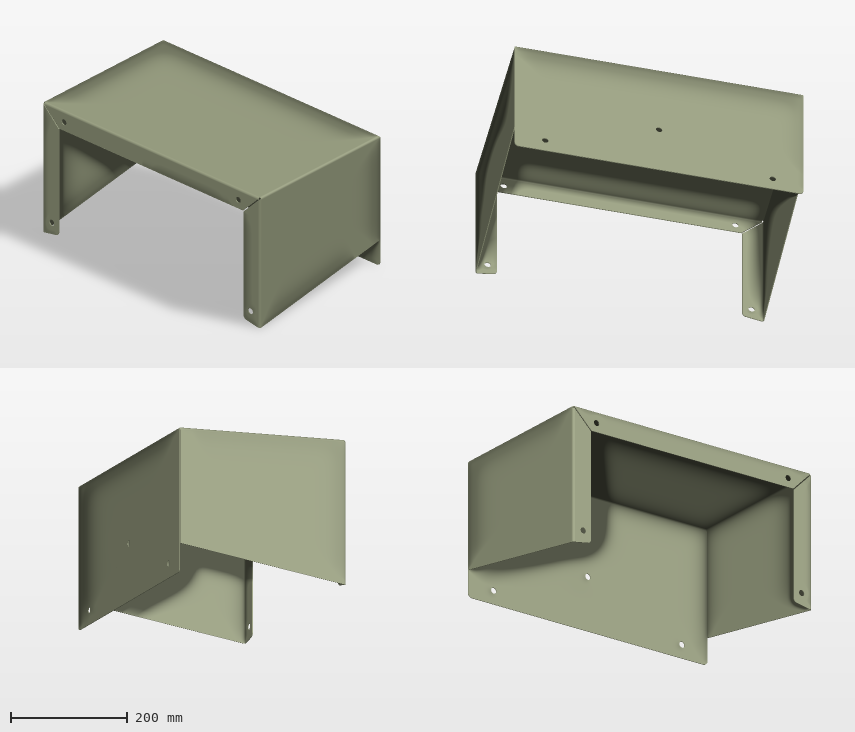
import cadquery as cq
import math

length = 508.0
depth = 305.0
height = 254.0
thickness = 1.5
bend_radius = 4.0

flange_width = 38.0
miter_gap = 2.0
miter_angle = 45.0
seam_gap = 0.5
flange_bottom_rise = 6.0
tip_radius = 7.5
side_rise = 51.0

hole_diameter = 11.0
top_hole_x = 203.5
top_hole_drop = 21.5
side_hole_x = 232.0
back_hole_x = 200.0
low_hole_z = 25.5
center_hole_z = 101.5

half_length = length / 2
half_depth = depth / 2
front_y = -half_depth
flat_x = half_length - bend_radius
flat_z = height - bend_radius
opening_x = half_length - flange_width
opening_z = height - flange_width
cut_margin = 5.0
pick_margin = 0.5


def bent_block(inset):
    """Block inset from the outer faces, its bends meeting in miters at the top corners."""
    radius = bend_radius - inset
    size_x = length - 2 * inset
    size_y = depth - 2 * inset
    block_height = height - inset

    def plain_block():
        return cq.Workplane("XY").box(size_x, size_y, block_height, centered=(True, True, False))

    side_bends = plain_block().edges("|Y and >Z").fillet(radius)
    end_bends = plain_block().edges("|X and >Z").fillet(radius)
    front_bends = plain_block().edges("|Z and <Y").fillet(radius)
    return side_bends.intersect(end_bends).intersect(front_bends)


def front_cut(sketch):
    """Extrude an XZ sketch lying on the front plane through the front flanges only."""
    return sketch.extrude(-(bend_radius + cut_margin))


def front_plane():
    return cq.Workplane("XZ", origin=(0, front_y - cut_margin, 0))


def front_opening():
    """Opening between the flanges, including the slope below the side flanges."""
    window = front_cut(
        front_plane()
        .moveTo(-flat_x, 0)
        .lineTo(-opening_x, flange_bottom_rise)
        .lineTo(-opening_x, opening_z)
        .lineTo(opening_x, opening_z)
        .lineTo(opening_x, flange_bottom_rise)
        .lineTo(flat_x, 0)
        .close()
    )
    tips = cq.selectors.BoxSelector(
        (-opening_x - pick_margin, -depth, flange_bottom_rise - pick_margin),
        (opening_x + pick_margin, depth, flange_bottom_rise + pick_margin),
    )
    return window.edges("|Y").edges(tips).fillet(tip_radius)


def miter_slit(side):
    """45 degree slit between the top flange and one side flange."""
    run = flange_width - bend_radius + miter_gap
    return front_cut(
        front_plane()
        .center(side * (flat_x - run / 2), flat_z - run / 2)
        .transformed(rotate=(0, 0, side * miter_angle))
        .rect(run * math.sqrt(2), miter_gap)
    )


def corner_relief(side):
    """Notch where the three bends would meet at a front top corner."""
    notch = 2 * bend_radius
    return cq.Workplane("XY").box(notch, notch, notch).translate(
        (side * half_length, front_y, height)
    )


def side_slope():
    """Wedge below the side panels, stopping at the inner face of the back panel."""
    return (
        cq.Workplane("YZ")
        .moveTo(front_y + bend_radius, 0)
        .lineTo(half_depth - thickness, side_rise)
        .lineTo(half_depth - thickness, 0)
        .close()
        .extrude(half_length + cut_margin, both=True)
    )


def back_seam(side):
    """Open seam between a side panel and the back panel, ending below the top bend."""
    seam_width = 2 * bend_radius
    return cq.Workplane("XY").box(seam_width, seam_gap, flat_z, centered=(True, False, False)).translate(
        (side * half_length, half_depth - thickness - seam_gap, 0)
    )


def hole_pins(points, start_y):
    """Pins along Y that drill one wall, beginning just in front of it."""
    return (
        cq.Workplane("XZ", origin=(0, start_y - cut_margin, 0))
        .pushPoints(points)
        .circle(hole_diameter / 2)
        .extrude(-(thickness + 2 * cut_margin))
    )


cover = bent_block(0).cut(bent_block(thickness))
cover = cover.cut(front_opening()).cut(side_slope())

for side in (-1, 1):
    cover = cover.cut(miter_slit(side)).cut(corner_relief(side)).cut(back_seam(side))
    flange_holes = [(side * top_hole_x, height - top_hole_drop), (side * side_hole_x, low_hole_z)]
    cover = cover.cut(hole_pins(flange_holes, front_y))

back_holes = [(-back_hole_x, low_hole_z), (back_hole_x, low_hole_z), (0, center_hole_z)]
cover = cover.cut(hole_pins(back_holes, half_depth - thickness))

back_bottom = cq.selectors.BoxSelector(
    (-length, half_depth - thickness, -cut_margin),
    (length, half_depth, cut_margin),
)
result = cover.edges("|Y").edges(back_bottom).fillet(tip_radius)